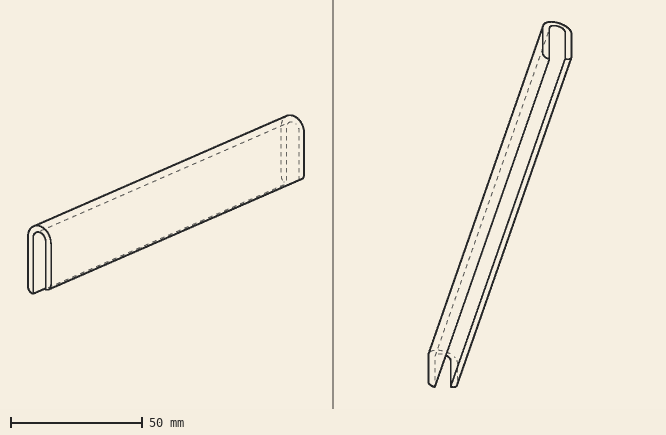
import cadquery as cq

length = 152.4
width = 11.5
height = 28.5
wall = 2.6
short_leg_rise = 3.2
tip_radius = wall

outer_radius = width / 2
inner_radius = outer_radius - wall
arch_z = height / 2 - outer_radius
left_end_z = -height / 2
right_end_z = left_end_z + short_leg_rise

section = (
    cq.Workplane("XZ", origin=(0, length / 2, 0))
    .moveTo(-inner_radius, left_end_z)
    .lineTo(-inner_radius, arch_z)
    .threePointArc((0, arch_z + inner_radius), (inner_radius, arch_z))
    .lineTo(inner_radius, right_end_z)
    .radiusArc((outer_radius, right_end_z + tip_radius), -tip_radius)
    .lineTo(outer_radius, arch_z)
    .threePointArc((0, arch_z + outer_radius), (-outer_radius, arch_z))
    .lineTo(-outer_radius, left_end_z + tip_radius)
    .radiusArc((-inner_radius, left_end_z), -tip_radius)
    .close()
)

result = section.extrude(length)